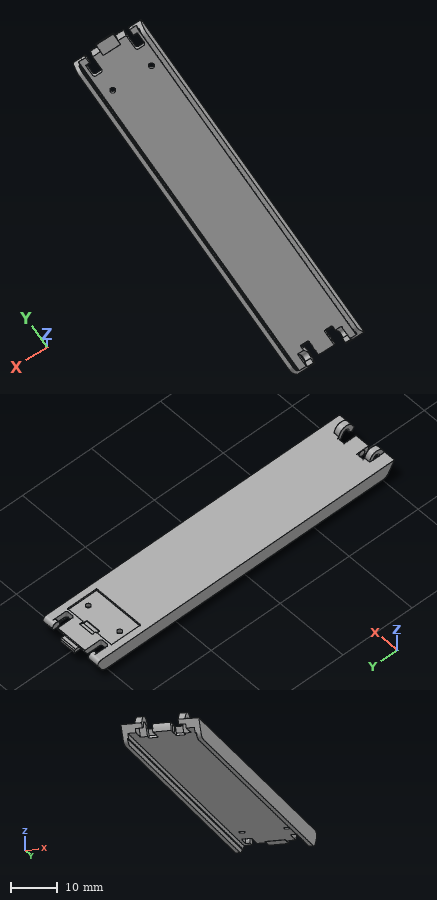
import cadquery as cq
import math

width = 17.5
total_length = 86.89
total_height = 6.0
plate_thickness = 1.8
end_slope = math.radians(30)
end_round = 2.0
rail_width = 1.3
rail_foot_width = 1.05
rail_foot_top = -2.8

knuckle_radius = 2.05
knuckle_seat_radius = 0.85
knuckle_inner_x = 4.07
knuckle_outer_x = 5.65

tongue_half_width = 2.05
tongue_setback = 1.35
tongue_front_radius = 5.0
notch_length = 4.8
notch_slope_depth = 1.3
bump_base_radius = 0.85
bump_height = 0.25
bump_setback = 3.4
bump_z = -0.95

pin_radius = 1.05
pin_inner_x = 5.65
tab_reach = 0.85
tab_half_width = 2.25
tab_top = -0.75
tab_bottom = -1.85
tab_root_length = 2.0
tab_chamfer = 0.3
block_half_width = 4.35
block_bevel_run = 0.25
block_bevel_drop = 0.1
slot_outer_x = 6.65
slot_length = 5.0
slot_corner_radius = 0.5

pocket_half_width = 7.0
pocket_length = 8.45
pocket_setback = 5.55
pocket_depth = 0.5
hole_diameter = 1.25
hole_half_spacing = 5.0
hole_setback = 9.75
recess_half_width = 2.0
recess_setback = 4.5
recess_length = 2.1
recess_ramp_run = 1.15
recess_depth = recess_ramp_run * math.tan(end_slope)

half_width = width / 2
bottom_z = knuckle_radius - total_height
front_tip_y = -knuckle_radius / math.cos(end_slope)
tab_tip_y = front_tip_y + total_length
rail_end_y = tab_tip_y - tab_reach
pin_y = rail_end_y - pin_radius
pin_z = -pin_radius
slot_back_y = rail_end_y - slot_length
notch_back_y = front_tip_y + notch_length


def box(x0, x1, y0, y1, z0, z1):
    """Axis-aligned box between two corners."""
    return cq.Workplane("XY").box(x1 - x0, y1 - y0, z1 - z0, centered=False).translate((x0, y0, z0))


def side_prism(points, x0, x1):
    """Extrude a closed (Y, Z) outline from x0 to x1."""
    return cq.Workplane("YZ", origin=(x0, 0, 0)).polyline(points).close().extrude(x1 - x0)


def x_cylinder(radius, y, z, x0, x1):
    """Cylinder along X."""
    return cq.Workplane("YZ", origin=(x0, y, z)).circle(radius).extrude(x1 - x0)


def both_sides(solid):
    """The solid together with its mirror image in the YZ plane."""
    return solid.union(solid.mirror("YZ"))


def slope_run(height):
    """Horizontal run of an end slope over a height."""
    return height * math.tan(end_slope)


def make_channel():
    """Plate on two rails, with sloped front ends and rounded rear ends tangent to the pins."""
    tangent_y = pin_y + pin_radius * math.cos(end_slope)
    tangent_z = pin_z - pin_radius * math.sin(end_slope)
    body = (
        cq.Workplane("YZ", origin=(-half_width, 0, 0))
        .moveTo(front_tip_y, 0)
        .lineTo(pin_y, 0)
        .threePointArc((rail_end_y, pin_z), (tangent_y, tangent_z))
        .lineTo(tangent_y - slope_run(tangent_z - bottom_z), bottom_z)
        .lineTo(front_tip_y + slope_run(-bottom_z), bottom_z)
        .close()
        .extrude(width)
        .edges("|X and <Z")
        .fillet(end_round)
    )
    inner = half_width - rail_width
    foot_inner = half_width - rail_foot_width
    cavity = box(-inner, inner, front_tip_y, tab_tip_y, bottom_z, -plate_thickness)
    foot_gap = box(-foot_inner, foot_inner, front_tip_y, tab_tip_y, bottom_z, rail_foot_top)
    return body.cut(cavity).cut(foot_gap)


def make_notches():
    """Openings beside the tongue, with undercut back walls, and the space in front of its curved end."""
    undercut_y = notch_back_y + slope_run(notch_slope_depth)
    side = side_prism(
        [
            (front_tip_y, 0),
            (notch_back_y, 0),
            (undercut_y, -notch_slope_depth),
            (undercut_y, -plate_thickness),
            (front_tip_y, -plate_thickness),
        ],
        tongue_half_width,
        knuckle_inner_x,
    )
    tongue_y = front_tip_y + tongue_setback
    lean = math.asin(plate_thickness / tongue_front_radius)
    mid_lean = lean / 2
    front = (
        cq.Workplane("YZ", origin=(-tongue_half_width, 0, 0))
        .moveTo(front_tip_y, 0)
        .lineTo(tongue_y, 0)
        .threePointArc(
            (
                tongue_y + tongue_front_radius * (1 - math.cos(mid_lean)),
                -tongue_front_radius * math.sin(mid_lean),
            ),
            (tongue_y + tongue_front_radius * (1 - math.cos(lean)), -plate_thickness),
        )
        .lineTo(front_tip_y, -plate_thickness)
        .close()
        .extrude(2 * tongue_half_width)
    )
    return both_sides(side).union(front)


def make_bumps():
    """Shallow domes on the tongue sides."""
    dome_radius = (bump_base_radius**2 + bump_height**2) / (2 * bump_height)
    mid_angle = math.asin(bump_base_radius / dome_radius) / 2
    mid_height = bump_height - dome_radius * (1 - math.cos(mid_angle))
    dome = (
        cq.Workplane("XY")
        .lineTo(bump_height, 0)
        .threePointArc((mid_height, dome_radius * math.sin(mid_angle)), (0, bump_base_radius))
        .close()
        .revolve(360, (0, 0, 0), (1, 0, 0))
        .translate((tongue_half_width, front_tip_y + bump_setback, bump_z))
    )
    return both_sides(dome)


def make_knuckles():
    """Eyes whose fronts run tangentially down to the -Y tip."""
    eye = x_cylinder(knuckle_radius, 0, 0, knuckle_inner_x, knuckle_outer_x)
    tangent_y = -knuckle_radius * math.cos(end_slope)
    tangent_z = knuckle_radius * math.sin(end_slope)
    nose = side_prism(
        [(0, 0), (tangent_y, tangent_z), (front_tip_y, 0), (tangent_y, -tangent_z)],
        knuckle_inner_x,
        knuckle_outer_x,
    )
    above_plate_bottom = box(
        knuckle_inner_x,
        knuckle_outer_x,
        front_tip_y,
        knuckle_radius,
        -plate_thickness,
        knuckle_radius,
    )
    return both_sides(eye.union(nose).intersect(above_plate_bottom))


def make_knuckle_openings():
    """Pin seats that make each knuckle a hook, open downward through the plate."""
    seat = x_cylinder(knuckle_seat_radius, 0, 0, knuckle_inner_x, knuckle_outer_x)
    rear_y = knuckle_seat_radius * math.cos(end_slope)
    rear_z = knuckle_seat_radius * math.sin(end_slope)
    mouth = side_prism(
        [
            (0, 0),
            (front_tip_y, front_tip_y * math.tan(end_slope)),
            (front_tip_y, -plate_thickness),
            (rear_y + slope_run(rear_z + plate_thickness), -plate_thickness),
            (rear_y, rear_z),
        ],
        knuckle_inner_x,
        knuckle_outer_x,
    )
    return both_sides(seat.union(mouth))


def make_rear_slots():
    """Slots on both sides of the middle block."""
    slot = box(block_half_width, slot_outer_x, slot_back_y, tab_tip_y, bottom_z, 0)
    return both_sides(slot.edges("|Z and <Y").fillet(slot_corner_radius))


def make_block_space():
    """Space between the slots, cleared to be refilled by the middle block."""
    return box(-block_half_width, block_half_width, slot_back_y, tab_tip_y, bottom_z, 0)


def make_block():
    """Middle block with a bevelled lip and an undercut end face."""
    lip_z = -block_bevel_drop
    return side_prism(
        [
            (slot_back_y, 0),
            (rail_end_y - block_bevel_run, 0),
            (rail_end_y, lip_z),
            (rail_end_y - slope_run(plate_thickness + lip_z), -plate_thickness),
            (slot_back_y, -plate_thickness),
        ],
        -block_half_width,
        block_half_width,
    )


def make_tab():
    """Latch tab on the end of the middle block."""
    root_y = rail_end_y - tab_root_length
    tab = box(-tab_half_width, tab_half_width, root_y, tab_tip_y, tab_bottom, tab_top)
    return tab.edges("|X and >Y and >Z").chamfer(tab_chamfer)


def make_pins():
    """Pins reaching inward from the rail ends, flattened level with the plate bottom."""
    pin = x_cylinder(pin_radius, pin_y, pin_z, pin_inner_x, slot_outer_x)
    above_plate_bottom = box(pin_inner_x, slot_outer_x, slot_back_y, rail_end_y, -plate_thickness, 0)
    return both_sides(pin.intersect(above_plate_bottom))


def make_pocket():
    """Rectangular pocket and the ramped recess breaking into its rear wall."""
    pocket_y = rail_end_y - pocket_setback
    pocket = box(-pocket_half_width, pocket_half_width, pocket_y - pocket_length, pocket_y, -pocket_depth, 0)
    ramp_y = rail_end_y - recess_setback
    recess = side_prism(
        [
            (ramp_y, 0),
            (ramp_y - recess_ramp_run, -recess_depth),
            (ramp_y - recess_length, -recess_depth),
            (ramp_y - recess_length, 0),
        ],
        -recess_half_width,
        recess_half_width,
    )
    return pocket.union(recess)


def make_holes():
    """Two through holes in the pocket floor."""
    hole = (
        cq.Workplane("XY", origin=(hole_half_spacing, rail_end_y - hole_setback, -plate_thickness))
        .circle(hole_diameter / 2)
        .extrude(plate_thickness)
    )
    return both_sides(hole)


result = (
    make_channel()
    .cut(make_notches())
    .union(make_bumps())
    .union(make_knuckles())
    .cut(make_knuckle_openings())
    .cut(make_rear_slots())
    .cut(make_block_space())
    .union(make_block())
    .union(make_tab())
    .union(make_pins())
    .cut(make_pocket())
    .cut(make_holes())
)